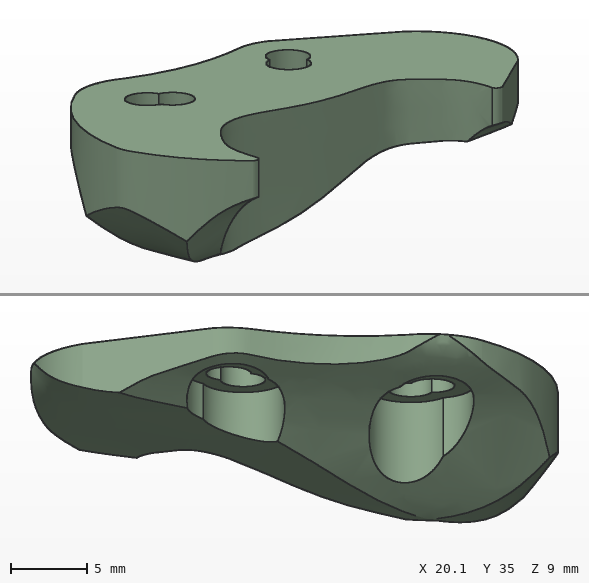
import cadquery as cq

width = 20.1
length = 35.0
height = 9.0
ridge_x = 11.75
end_depth = 4.0
overrun = 1.75

hole_radius = 1.47
bore_radius = 2.73
bore_ceiling = 2.0
hole_inner_x = 6.1
hole_outer_x = 4.95
hole_mirror_y = 16.5
hole_inner_offset = 5.6
hole_outer_offset = 6.8


def hooked_plate():
    """Full-height body with the C-shaped outline and its two pointed hooks."""
    outline = (
        cq.Workplane("XY")
        .moveTo(6.65, 32.7)
        .threePointArc((ridge_x, length), (16.6, 32.85))
        .lineTo(20.02, 27.65)
        .threePointArc((width, 27.3), (19.75, 26.95))
        .spline(
            [(18.38, 27.05), (16.8, 26.67), (15.2, 25.45), (13.85, 23.9), (13.5, 22.4),
             (13.6, 19.18), (13.35, 15.6), (12.67, 13.05), (12.3, 11.2), (12.78, 8.58),
             (14.45, 6.55), (16.35, 5.2), (17.85, 4.8), (19.4, 4.62)],
            includeCurrent=True,
        )
        .threePointArc((19.78, 4.35), (19.7, 3.9))
        .threePointArc((16.35, 1.47), (12.42, 0.07))
        .threePointArc((ridge_x, 0.0), (11.05, 0.07))
        .threePointArc((5.0, 2.7), (0.8, 7.18))
        .threePointArc((0.0, 9.7), (0.55, 12.2))
        .spline(
            [(1.3, 14.52), (1.7, 17.3), (1.7, 19.6), (1.3, 22.58)],
            includeCurrent=True,
        )
        .threePointArc((1.25, 23.8), (1.6, 25.0))
        .close()
    )
    return outline.extrude(-height)


def cross_profile():
    """Bell-shaped cross-section in XZ, swept along the length."""
    return (
        cq.Workplane("XZ")
        .spline(
            [(0.0, 0.0), (0.45, -1.1), (1.2, -1.7), (3.78, -2.7), (6.3, -4.75),
             (8.82, -7.52), (ridge_x, -height), (14.52, -7.5), (17.05, -4.62), (width, -2.45)]
        )
        .lineTo(width, 0.0)
        .close()
        .extrude(-(length + overrun))
        .translate((0, -overrun / 2, 0))
    )


def lengthwise_profile():
    """Keel line in YZ, swept across the width."""
    return (
        cq.Workplane("YZ")
        .moveTo(-overrun, 0.0)
        .lineTo(-overrun, -end_depth)
        .lineTo(0.0, -end_depth)
        .spline(
            [(1.3, -5.6), (4.05, -7.95), (8.33, -height), (12.6, -8.35), (17.32, -6.6),
             (22.1, -4.95), (26.85, -4.13), (31.57, -3.4), (33.45, -2.55), (length, 0.0)],
            includeCurrent=True,
        )
        .close()
        .extrude(width + overrun)
        .translate((-overrun / 2, 0, 0))
    )


def cylinder(x, y, radius, top):
    """Vertical cylinder from below the part up to the given height."""
    bottom = -height - overrun
    return (
        cq.Workplane("XY")
        .workplane(offset=bottom)
        .center(x, y)
        .circle(radius)
        .extrude(top - bottom)
    )


def paired_cylinders(side, radius, top):
    """Two overlapping cylinders; side is +1 for the upper hole, -1 for the lower."""
    inner = cylinder(hole_inner_x, hole_mirror_y + side * hole_inner_offset, radius, top)
    outer = cylinder(hole_outer_x, hole_mirror_y + side * hole_outer_offset, radius, top)
    return inner.union(outer)


plate = hooked_plate()
for side in (1, -1):
    plate = plate.cut(paired_cylinders(side, hole_radius, overrun))
    plate = plate.cut(paired_cylinders(side, bore_radius, -bore_ceiling))

result = plate.intersect(cross_profile()).intersect(lengthwise_profile())